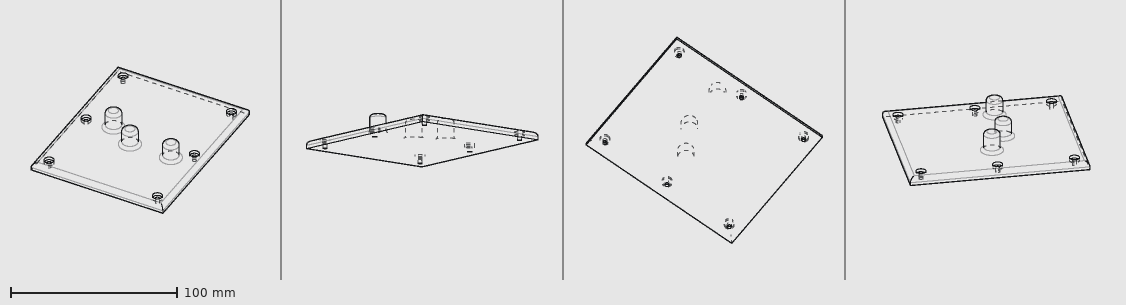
import cadquery as cq

plate_length = 110.0
plate_width = plate_length * 9 / 11
plate_thickness = 5.0
edge_radius = 3.0

hole_inset = 8.0
hole_diameter = 2.5
counterbore_diameter = 6.0
counterbore_depth = 2.0

pin_diameter = 10.0
pin_fillet = 2.0
tall_pin_top = 17.5
short_pin_top = 16.5
short_pin_y = -10.0
pins = [
    (-18.3, 0, tall_pin_top),
    (-1.6, short_pin_y, short_pin_top),
    (26.3, short_pin_y, short_pin_top),
]


def make_plate():
    """Rectangular plate with all four upper edges rounded."""
    plate = cq.Workplane("XY").box(
        plate_width, plate_length, plate_thickness, centered=(True, True, False)
    )
    return plate.faces(">Z").edges().fillet(edge_radius)


def make_pin(x, y, top):
    """Pin with a rounded top rim and a concave fillet flaring out at its foot."""
    radius = pin_diameter / 2
    diagonal = pin_fillet * 0.5**0.5
    foot_radius = radius + pin_fillet
    foot_top = plate_thickness + pin_fillet
    rim_radius = radius - pin_fillet
    rim_bottom = top - pin_fillet
    profile = (
        cq.Workplane("XZ")
        .lineTo(foot_radius, 0)
        .lineTo(foot_radius, plate_thickness)
        .threePointArc((foot_radius - diagonal, foot_top - diagonal), (radius, foot_top))
        .lineTo(radius, rim_bottom)
        .threePointArc((rim_radius + diagonal, rim_bottom + diagonal), (rim_radius, top))
        .lineTo(0, top)
        .close()
    )
    return profile.revolve(360, (0, 0, 0), (0, 1, 0)).translate((x, y, 0))


def drill_screw_holes(body):
    """Counterbored through holes at the corners and at the middle of each long side."""
    hole_x = plate_width / 2 - hole_inset
    hole_y = plate_length / 2 - hole_inset
    centres = [(x, y) for x in (-hole_x, hole_x) for y in (-hole_y, 0, hole_y)]
    top_plane = cq.Workplane("XY", origin=(0, 0, plate_thickness)).pushPoints(centres)
    counterbores = top_plane.circle(counterbore_diameter / 2).extrude(-counterbore_depth)
    through_holes = top_plane.circle(hole_diameter / 2).extrude(-plate_thickness)
    return body.cut(counterbores).cut(through_holes)


result = make_plate()
for pin_x, pin_y, pin_top in pins:
    result = result.union(make_pin(pin_x, pin_y, pin_top))
result = drill_screw_holes(result)